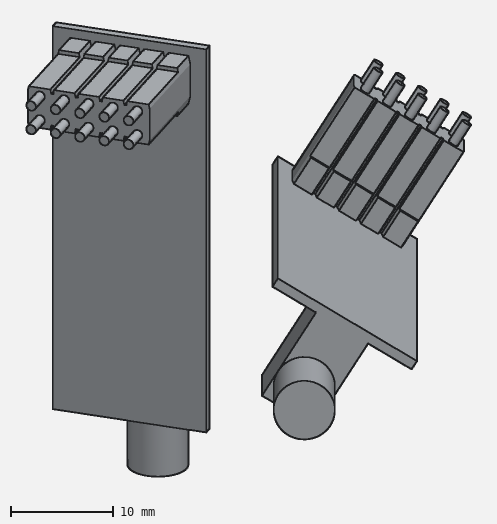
import cadquery as cq

board_width = 16.0
board_height = 41.0
board_thickness = 1.0

jack_width = 6.0
jack_depth = 10.0
jack_height = 7.0
barrel_diameter = jack_width
barrel_length = 8.0

pitch = 2.54
columns = 5
rows = 2
header_top_gap = 3.53
core_height = 3.4
body_height = 4.3
base_height = 5.14
taper = 0.22
groove_floor = 0.2
body_length = 11.4
base_length = 3.15
pin_diameter = 1.0
pin_length = 2.5

header_width = columns * pitch
header_z = board_height - header_top_gap
column_positions = [(i - (columns - 1) / 2) * pitch for i in range(columns)]
row_positions = [header_z + (i - (rows - 1) / 2) * pitch for i in range(rows)]


def make_board():
    return cq.Workplane("XY").box(
        board_width, board_thickness, board_height, centered=(True, False, False)
    )


def make_jack():
    block = (
        cq.Workplane("XY", origin=(0, board_thickness, 0))
        .box(jack_width, jack_depth, jack_height, centered=(True, False, False))
    )
    barrel_y = board_thickness + jack_depth - barrel_diameter / 2
    barrel = (
        cq.Workplane("XY", origin=(0, barrel_y, 0))
        .circle(barrel_diameter / 2)
        .extrude(-barrel_length)
    )
    return block.union(barrel)


def make_header_stretch(height, length):
    """Bar with straight sides at the core, sloping inward above and below it."""
    half_core = core_height / 2
    half_height = height / 2
    half_width = header_width / 2
    half_top = half_width - taper * (half_height - half_core)
    outline = [
        (half_width, -half_core),
        (half_width, half_core),
        (half_top, half_height),
        (-half_top, half_height),
        (-half_width, half_core),
        (-half_width, -half_core),
        (-half_top, -half_height),
        (half_top, -half_height),
    ]
    return cq.Workplane("XZ", origin=(0, 0, header_z)).polyline(outline).close().extrude(length)


def make_groove(x, side):
    """Cutter for one flared groove; side is +1 for the upper face, -1 for the lower."""
    floor_z = side * core_height / 2
    mouth_z = side * base_height / 2
    half_floor = groove_floor / 2
    half_mouth = half_floor + taper * (base_height - core_height) / 2
    outline = [
        (-half_floor, floor_z),
        (half_floor, floor_z),
        (half_mouth, mouth_z),
        (-half_mouth, mouth_z),
    ]
    return cq.Workplane("XZ", origin=(x, 0, header_z)).polyline(outline).close().extrude(body_length)


def make_header_body():
    body = make_header_stretch(body_height, body_length)
    body = body.union(make_header_stretch(base_height, base_length))
    for column_x in column_positions[:-1]:
        for side in (1, -1):
            body = body.cut(make_groove(column_x + pitch / 2, side))
    return body


def make_pins():
    pin_centres = [(x, z) for x in column_positions for z in row_positions]
    return (
        cq.Workplane("XZ", origin=(0, -body_length, 0))
        .pushPoints(pin_centres)
        .circle(pin_diameter / 2)
        .extrude(pin_length)
    )


result = make_board().union(make_jack()).union(make_header_body()).union(make_pins())